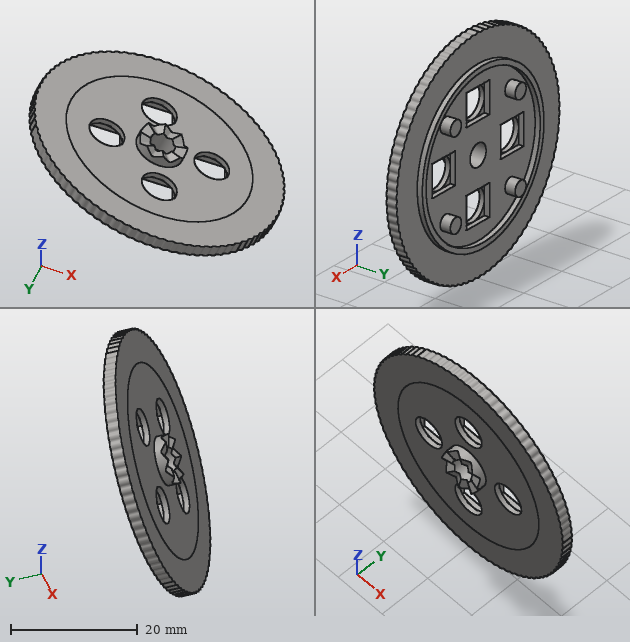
import cadquery as cq
import math


OVERALL_DEPTH = 6.0
STEP = OVERALL_DEPTH / 6

RIM_DIAMETER = 43.0
RIM_WIDTH = 2 * STEP
TOOTH_COUNT = 90
VALLEY_DEPTH = 0.2
FLANK_DEPTH = 0.15
VALLEY_SHARE = 0.38

DISC_DIAMETER = 32.0
FLANGE_HEIGHT = STEP
FLANGE_WALL = 1.0
DISC_WIDTH = RIM_WIDTH + FLANGE_HEIGHT

WINDOW_SIZE = 6.0
WINDOW_RADIUS = 9.0
WINDOW_COUNT = 4
WINDOW_ROUND_DEPTH = STEP

PIN_DIAMETER = 2.9
PIN_HEIGHT = STEP
PIN_OFFSET = 8.5

HUB_DIAMETER = 8.0
HUB_HEIGHT = 2 * STEP
BORE_DIAMETER = 4.2
GROOVE_COUNT = 8
GROOVE_FIRST_ANGLE = 20.0
GROOVE_SLOPE = 32.5
GROOVE_ROOT_RADIUS = 0.45


def cylinder_along_y(diameter, y_start, y_end, x=0, z=0):
    """Cylinder with its axis along Y."""
    base_center = cq.Vector(x, y_start, z)
    axis = cq.Vector(0, 1, 0)
    return cq.Workplane(cq.Solid.makeCylinder(diameter / 2, y_end - y_start, base_center, axis))


def polar(radius, angle):
    """Point (x, z) at an angle in degrees from the X axis."""
    return radius * math.cos(math.radians(angle)), radius * math.sin(math.radians(angle))


def make_rim():
    """Ring with a wavy knurl of alternating valley and crest arcs."""
    crest_radius = RIM_DIAMETER / 2
    valley_radius = crest_radius - VALLEY_DEPTH
    flank_radius = crest_radius - FLANK_DEPTH
    pitch = 360 / TOOTH_COUNT
    valley_half = pitch * VALLEY_SHARE / 2

    outline = cq.Workplane("XZ").moveTo(*polar(flank_radius, -valley_half))
    for tooth in range(TOOTH_COUNT):
        angle = tooth * pitch
        outline = outline.threePointArc(
            polar(valley_radius, angle), polar(flank_radius, angle + valley_half)
        )
        outline = outline.threePointArc(
            polar(crest_radius, angle + pitch / 2), polar(flank_radius, angle + pitch - valley_half)
        )
    rim = outline.close().extrude(-RIM_WIDTH)
    return rim.cut(cylinder_along_y(DISC_DIAMETER, 0, RIM_WIDTH))


def make_window(angle):
    """Cutter for one window: a round hole that turns square behind its front part."""
    x, z = polar(WINDOW_RADIUS, angle)
    square_depth = RIM_WIDTH - WINDOW_ROUND_DEPTH
    square = cq.Workplane("XY").box(WINDOW_SIZE, square_depth, WINDOW_SIZE)
    square = square.translate((x, WINDOW_ROUND_DEPTH + square_depth / 2, z))
    return cylinder_along_y(WINDOW_SIZE, 0, RIM_WIDTH, x, z).union(square)


def make_groove(angle):
    """Cutter for one radial V groove with a rounded root in the face of the hub."""
    slope = math.radians(GROOVE_SLOPE)
    half_width = HUB_DIAMETER / 2 * math.sin(math.pi / GROOVE_COUNT)
    depth = half_width * math.tan(slope)
    cutter = (
        cq.Workplane("XY")
        .moveTo(0, -HUB_HEIGHT + depth)
        .lineTo(2 * half_width, -HUB_HEIGHT - depth)
        .lineTo(-2 * half_width, -HUB_HEIGHT - depth)
        .close()
        .extrude(HUB_DIAMETER)
        .edges(cq.selectors.NearestToPointSelector((0, -HUB_HEIGHT + depth, HUB_DIAMETER / 2)))
        .fillet(GROOVE_ROOT_RADIUS)
    )
    return cutter.rotate((0, 0, 0), (0, 1, 0), 90 - angle)


def make_disc():
    """Disc with a back recess, windows, pins and the toothed hub."""
    disc = cylinder_along_y(DISC_DIAMETER, 0, DISC_WIDTH)
    recess_diameter = DISC_DIAMETER - 2 * FLANGE_WALL
    disc = disc.cut(cylinder_along_y(recess_diameter, RIM_WIDTH, DISC_WIDTH))

    hub = cylinder_along_y(HUB_DIAMETER, -HUB_HEIGHT, 0)
    for groove in range(GROOVE_COUNT):
        hub = hub.cut(make_groove(GROOVE_FIRST_ANGLE + groove * 360 / GROOVE_COUNT))
    disc = disc.union(hub)

    for x in (-PIN_OFFSET, PIN_OFFSET):
        for z in (-PIN_OFFSET, PIN_OFFSET):
            disc = disc.union(cylinder_along_y(PIN_DIAMETER, RIM_WIDTH, DISC_WIDTH + PIN_HEIGHT, x, z))

    for window in range(WINDOW_COUNT):
        disc = disc.cut(make_window(window * 360 / WINDOW_COUNT))

    return disc.cut(cylinder_along_y(BORE_DIAMETER, -HUB_HEIGHT, DISC_WIDTH))


rim = make_rim()
disc = make_disc()

result = cq.Compound.makeCompound([rim.val(), disc.val()])